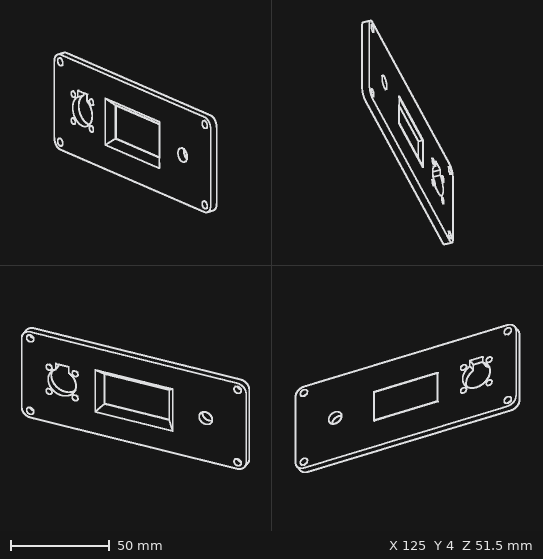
import cadquery as cq

length = 125.0
height = 51.5
thickness = 4.0
corner_radius = 5.0

mount_diameter = 4.0
mount_spacing_x = 115.5
mount_spacing_z = 43.5

connector_x = -40.0
connector_diameter = 15.5
key_width = 7.2
key_top = 10.4
screw_diameter = 3.2
screw_spacing = 14.5

window_x = 0.0
window_width = 36.0
window_height = 18.0
land = 0.4
bevel_size = thickness - land

button_x = 40.0
button_diameter = 7.2


def front_plane(x=0.0):
    """Sketch plane on the front face (-Y), with its normal pointing out of the plate."""
    return cq.Workplane("XZ", origin=(x, -thickness / 2, 0))


def make_plate():
    plate = cq.Workplane("XY").box(length, thickness, height)
    return plate.edges("|Y").fillet(corner_radius)


def make_round_holes(x, spacing_x, spacing_z, diameter):
    """Four through holes at the corners of a rectangle centred at x."""
    corners = front_plane(x).rect(spacing_x, spacing_z, forConstruction=True).vertices()
    return corners.circle(diameter / 2).extrude(-thickness)


def make_connector_opening():
    bore = front_plane(connector_x).circle(connector_diameter / 2).extrude(-thickness)
    key = (
        front_plane(connector_x)
        .center(0, key_top / 2)
        .rect(key_width, key_top)
        .extrude(-thickness)
    )
    return bore.union(key)


def make_window():
    """Rectangular through opening with a bevel that narrows from the front face."""
    opening = front_plane(window_x).rect(window_width, window_height).extrude(-thickness)
    bevel = (
        front_plane(window_x)
        .rect(window_width + 2 * bevel_size, window_height + 2 * bevel_size)
        .workplane(offset=-bevel_size)
        .rect(window_width, window_height)
        .loft(ruled=True)
    )
    return opening.union(bevel)


def make_button_hole():
    return front_plane(button_x).circle(button_diameter / 2).extrude(-thickness)


result = (
    make_plate()
    .cut(make_round_holes(0, mount_spacing_x, mount_spacing_z, mount_diameter))
    .cut(make_round_holes(connector_x, screw_spacing, screw_spacing, screw_diameter))
    .cut(make_connector_opening())
    .cut(make_window())
    .cut(make_button_hole())
)